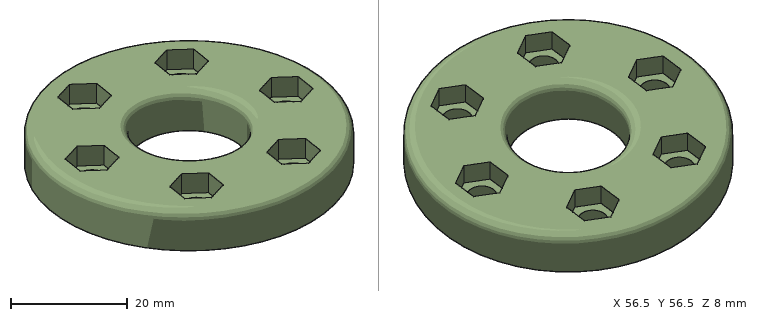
import cadquery as cq

outer_diameter = 56.5
bore_diameter = 21.0
thickness = 8.0
edge_radius = 2.0

bolt_count = 6
bolt_circle_radius = 20.0
bolt_hole_diameter = 5.3
nut_corner_diameter = 9.2
nut_pocket_depth = 4.0


def make_ring():
    """Flat ring with its top outer and bore edges rounded."""
    ring = cq.Workplane("XY").circle(outer_diameter / 2).circle(bore_diameter / 2).extrude(thickness)
    return ring.faces(">Z").edges().fillet(edge_radius)


def bolt_positions(height):
    """Bolt centres on a plane at the given height, the first one on +Y."""
    plane = cq.Workplane("XY").workplane(offset=height)
    return plane.polarArray(bolt_circle_radius, 90, 360, bolt_count, rotate=False)


def make_bolt_holes():
    return bolt_positions(0).circle(bolt_hole_diameter / 2).extrude(thickness)


def make_nut_pockets():
    """Hexagons open at the top face, each with two corners along X."""
    pocket_floor = thickness - nut_pocket_depth
    return bolt_positions(pocket_floor).polygon(6, nut_corner_diameter).extrude(nut_pocket_depth)


result = make_ring().cut(make_bolt_holes()).cut(make_nut_pockets())